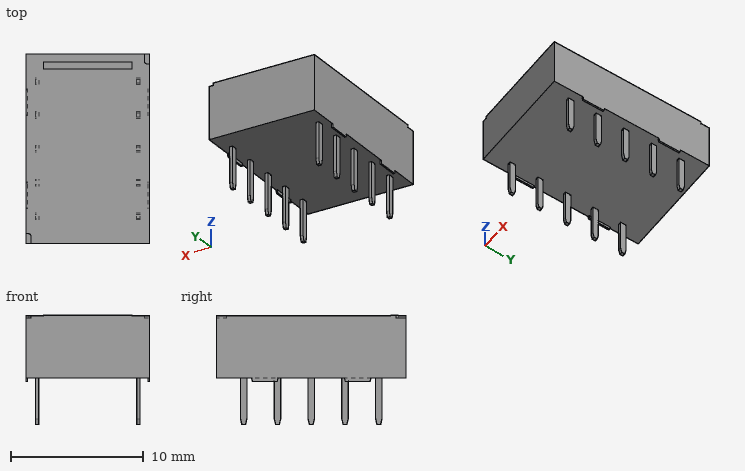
import cadquery as cq
import math

body_x = 9.31
body_y = 14.3
body_z = 4.72

bar_x = 6.66
bar_y = 0.56
bar_height = 0.05
bar_edge_distance = 0.87

notch_x = 0.37
notch_y = 0.76
notch_depth = 0.2
notch_radius = 0.2

foot_x = 0.13
foot_root_y = 1.99
foot_height = 0.26
foot_draft_angle = 12.0
foot_offset_y = 3.5

pin_x = 0.26
pin_y = 0.5
pin_length = 3.5
tip_y = 0.29
tip_length = 0.45
row_spacing = 7.62
pin_pitch = 2.55
pins_per_row = 5


def block(size_x, size_y, size_z, x, y, z_bottom):
    """Box centred on (x, y) and standing on z_bottom."""
    solid = cq.Workplane("XY").box(size_x, size_y, size_z, centered=(True, True, False))
    return solid.translate((x, y, z_bottom))


def make_notch():
    """Cutter for the (-X, -Y) top corner, rounded on its inner vertical edge."""
    cutter = block(2 * notch_x, 2 * notch_y, notch_depth, -body_x / 2, -body_y / 2, body_z - notch_depth)
    return cutter.edges("|Z").fillet(notch_radius)


def make_foot(x, y):
    """Foot hanging below the base, its ends leaning inwards as it goes down."""
    draft = foot_height * math.tan(math.radians(foot_draft_angle))
    half_root = foot_root_y / 2
    half_sole = half_root - draft
    outline = [
        (-half_root, 0),
        (half_root, 0),
        (half_sole, -foot_height),
        (-half_sole, -foot_height),
    ]
    foot = cq.Workplane("YZ").polyline(outline).close().extrude(foot_x / 2, both=True)
    return foot.translate((x, y, 0))


def make_pin(x, y):
    """Blade hanging below the base, narrowing in Y towards its tip."""
    shoulder_z = tip_length - pin_length
    outline = [
        (-pin_y / 2, 0),
        (pin_y / 2, 0),
        (pin_y / 2, shoulder_z),
        (tip_y / 2, -pin_length),
        (-tip_y / 2, -pin_length),
        (-pin_y / 2, shoulder_z),
    ]
    blade = cq.Workplane("YZ").polyline(outline).close().extrude(pin_x / 2, both=True)
    return blade.translate((x, y, 0))


result = block(body_x, body_y, body_z, 0, 0, 0)

notch = make_notch()
result = result.cut(notch)
result = result.cut(notch.rotate((0, 0, 0), (0, 0, 1), 180))

result = result.union(block(bar_x, bar_y, bar_height, 0, body_y / 2 - bar_edge_distance, body_z))

for side in (-1, 1):
    foot_center_x = side * (body_x - foot_x) / 2
    for end in (-1, 1):
        result = result.union(make_foot(foot_center_x, end * foot_offset_y))

    for index in range(pins_per_row):
        pin_center_y = (index - (pins_per_row - 1) / 2) * pin_pitch
        result = result.union(make_pin(side * row_spacing / 2, pin_center_y))